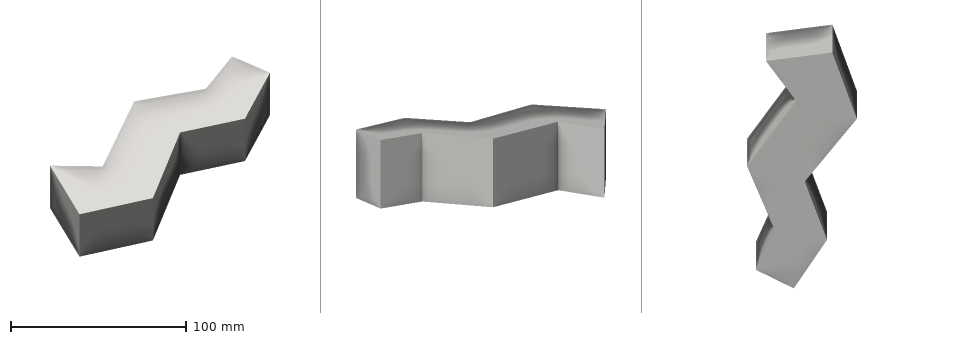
import cadquery as cq

width = 93.1
length = 135.7
height = 41.0

left_wall_x = 28.2
right_corner_x = 63.1
foot_y = 25.9

right_side = [
    (0, foot_y),
    (left_wall_x, 0),
    (right_corner_x, foot_y),
    (60.7, 74.8),
    (91.6, 97.3),
    (width, 132.8),
]
left_side = [
    (68.7, length),
    (right_corner_x, 109.0),
    (left_wall_x, 85.8),
    (left_wall_x, 36.4),
]

result = cq.Workplane("XY").polyline(right_side + left_side).close().extrude(height)